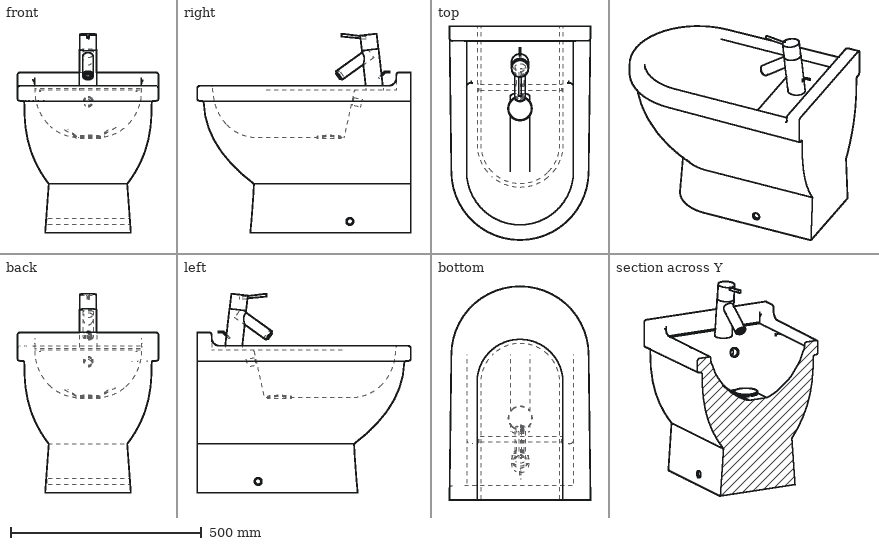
import cadquery as cq
import math


overall_height = 521.53
overall_length = 560.0
back_half_width = 185.0
front_radius = 180.0
front_center_y = front_radius - overall_length
rim_top_z = 385.0
rim_bottom_z = 345.0
rim_top_fillet = 7.5
rim_bottom_fillet = 7.0

back_wall_top_z = 420.0
back_wall_depth = 38.5
back_wall_sweep_radius = 20.0

opening_half_width = 140.0
opening_edge_fillet = 5.0
deck_z = 375.0
deck_back_fillet = 6.5
fillet_clearance = 0.5
deck_front_y = -148.0
deck_front_fillet = 5.0
basin_depth = 125.0
basin_floor_z = deck_z - basin_depth
basin_back_tilt = 12.5
basin_floor_half_width = 26.0
basin_back_bulge = 5.0
basin_corner_fillet = 12.0
overflow_z = 345.0
overflow_diameter = 20.0
overflow_mouth_diameter = 25.0
overflow_depth = 25.0

bowl_bottom_z = 128.0
bowl_top_half_width = 167.0
bowl_top_center_y = -376.0
bowl_bottom_half_width = 103.0
bowl_bottom_center_y = -308.5
bowl_width_power = 2.6
bowl_center_power = 1.75
bowl_section_count = 8
bowl_neck_fillet = 4.5

pedestal_base_half_width = 112.5
screw_hole_diameter = 15.0
screw_hole_mouth_diameter = 20.0
screw_hole_y = -160.0
screw_hole_z = 30.0

drain_y = -215.5
cap_diameter = 63.0
cap_chamfer = 1.5
cap_bottom_z = basin_floor_z - 2.0
cap_edge_z = basin_floor_z + 4.5
cap_dome_height = 2.0

tap_y = -95.0
tap_tilt = 6.5
tap_diameter = 45.0
tap_head_diameter = 44.0
tap_head_length = 40.0
spout_diameter = 28.0
spout_pitch = 35.6
spout_start = (0, -106.0, 470.7)
spout_length = 101.0
aerator_diameter = 20.0
aerator_bore = 15.0
aerator_seat_depth = 8.0
aerator_projection = 4.0
aerator_bore_depth = 6.0
lever_root_diameter = 6.0
lever_tip_diameter = 8.0
lever_rise = 6.2
lever_drop = 9.4
lever_tip_y = -182.5
rod_diameter = 4.0
rod_knob_y = -56.0
rod_bend_y = -69.0
rod_end_y = -84.0
rod_top_z = 420.5
rod_slope = 45.0


def u_outline(z, half_width, center_y, back_half=None):
    """Wire at height z: flat back on Y = 0, two sides and a half-round front."""
    back = half_width if back_half is None else back_half
    return (
        cq.Workplane("XY", origin=(0, 0, z))
        .moveTo(-back, 0)
        .lineTo(-half_width, center_y)
        .threePointArc((0, center_y - half_width), (half_width, center_y))
        .lineTo(back, 0)
        .close()
    )


def rod_along(start, direction, diameter, length):
    """Round bar that starts at a point and runs along a direction."""
    return cq.Workplane(
        cq.Solid.makeCylinder(diameter / 2, length, cq.Vector(*start), cq.Vector(*direction))
    )


def edges_in_band(solid, low, high):
    """Edges of a solid whose centres lie between two corner points."""
    return solid.edges(cq.selectors.BoxSelector(low, high))


def make_rim():
    sweep_end_y = -(back_wall_depth + back_wall_sweep_radius)
    sweep_top_z = rim_top_z + back_wall_sweep_radius
    side = (
        cq.Workplane("YZ", origin=(-back_half_width, 0, 0))
        .moveTo(0, rim_bottom_z)
        .lineTo(-overall_length, rim_bottom_z)
        .lineTo(-overall_length, rim_top_z)
        .lineTo(sweep_end_y, rim_top_z)
        .radiusArc((-back_wall_depth, sweep_top_z), -back_wall_sweep_radius)
        .lineTo(-back_wall_depth, back_wall_top_z)
        .lineTo(0, back_wall_top_z)
        .close()
        .extrude(2 * back_half_width)
    )
    plan = u_outline(rim_bottom_z, front_radius, front_center_y, back_half_width)
    rim = side.intersect(plan.extrude(back_wall_top_z - rim_bottom_z))
    upper_edges = cq.selectors.BoxSelector(
        (-back_half_width - 1, -overall_length - 1, rim_top_z - 1),
        (back_half_width + 1, -1, back_wall_top_z + 1),
    )
    inner_edges = cq.selectors.BoxSelector(
        (-1, sweep_end_y - 1, rim_top_z - 1),
        (1, -back_wall_depth + 1, sweep_top_z + 1),
    )
    return rim.edges(upper_edges - inner_edges).fillet(rim_top_fillet)


def make_bowl():
    """Outer bowl lofted through outlines that narrow and draw back towards the pedestal."""
    height = rim_bottom_z - bowl_bottom_z
    wires = []
    for i in range(bowl_section_count):
        drop = i / (bowl_section_count - 1)
        narrowing = (bowl_top_half_width - bowl_bottom_half_width) * drop**bowl_width_power
        setback = (bowl_bottom_center_y - bowl_top_center_y) * drop**bowl_center_power
        outline = u_outline(
            rim_bottom_z - drop * height, bowl_top_half_width - narrowing, bowl_top_center_y + setback
        )
        wires.append(outline.val())
    return cq.Workplane(cq.Solid.makeLoft(wires, False))


def make_pedestal():
    base = u_outline(0, pedestal_base_half_width, bowl_bottom_center_y).val()
    top = u_outline(bowl_bottom_z, bowl_bottom_half_width, bowl_bottom_center_y).val()
    return cq.Workplane(cq.Solid.makeLoft([base, top], True))


def make_shell():
    """Rim, bowl and pedestal in one piece, with rounded rim underside and neck."""
    shell = make_rim().union(make_bowl()).union(make_pedestal())
    low = (-back_half_width - 1, -overall_length, rim_bottom_z - 0.5)
    high = (back_half_width + 1, -1, rim_bottom_z + 0.5)
    lip = [e for e in edges_in_band(shell, low, high).vals() if e.geomType() != "BSPLINE"]
    shell = shell.newObject(lip).fillet(rim_bottom_fillet)
    neck = [e for e in edges_in_band(shell, low, high).vals() if e.geomType() == "BSPLINE"]
    return shell.newObject(neck).fillet(bowl_neck_fillet)


def make_deck_back_strip():
    """Strip that brings the deck up to the back wall with a rounded inner corner."""
    front_y = -(back_wall_depth + deck_back_fillet)
    return (
        cq.Workplane("YZ", origin=(-opening_half_width, 0, 0))
        .moveTo(front_y, deck_z)
        .radiusArc((-back_wall_depth, deck_z + deck_back_fillet), -deck_back_fillet)
        .lineTo(-back_wall_depth, rim_top_z + back_wall_sweep_radius)
        .lineTo(front_y, rim_top_z + back_wall_sweep_radius)
        .close()
        .extrude(2 * opening_half_width)
    )


def cut_opening(shell):
    """Recess between the rim sides down to the deck, with a softened top edge."""
    opening = u_outline(deck_z, opening_half_width, front_center_y)
    opening = opening.extrude(back_wall_top_z - deck_z + 1)
    behind = cq.Workplane("XY").box(
        2 * back_half_width, 2 * (back_wall_depth + fillet_clearance), 2 * overall_height
    )
    shell = shell.cut(opening.cut(behind))
    half = opening_half_width
    inner_edges = cq.selectors.BoxSelector(
        (-half - 1, front_center_y - half - 1, rim_top_z - 0.5),
        (half + 1, -back_wall_depth + 1, rim_top_z + back_wall_sweep_radius + 1),
        boundingbox=True,
    )
    shell = shell.edges(inner_edges).edges("not |X").fillet(opening_edge_fillet)
    return shell.cut(make_deck_back_strip())


def make_basin_cutter():
    """Trough with nearly straight flanks at the back that swell into a rounded front end."""
    half = opening_half_width
    floor_half = basin_floor_half_width
    flank_width = half - floor_half
    flank_slope = math.hypot(flank_width, basin_depth)
    flank_middle_x = (half + floor_half) / 2 + basin_back_bulge * basin_depth / flank_slope
    flank_middle_z = -basin_depth / 2 - basin_back_bulge * flank_width / flank_slope
    back_section = (
        cq.Workplane("XZ", origin=(0, deck_front_y, deck_z))
        .moveTo(-half, 0)
        .threePointArc((-flank_middle_x, flank_middle_z), (-floor_half, -basin_depth))
        .lineTo(floor_half, -basin_depth)
        .threePointArc((flank_middle_x, flank_middle_z), (half, 0))
        .close()
    )
    front_section = (
        cq.Workplane("XZ", origin=(0, front_center_y, deck_z))
        .moveTo(-half, 0)
        .ellipseArc(flank_width, basin_depth, 180, 270, startAtCurrent=True)
        .lineTo(floor_half, -basin_depth)
        .ellipseArc(flank_width, basin_depth, 270, 360, startAtCurrent=True)
        .close()
    )
    trough = cq.Workplane(cq.Solid.makeLoft([back_section.val(), front_section.val()], True))
    front_end = (
        cq.Workplane("XZ", origin=(0, front_center_y, deck_z))
        .moveTo(0, -basin_depth)
        .lineTo(floor_half, -basin_depth)
        .ellipseArc(flank_width, basin_depth, 270, 360, startAtCurrent=True)
        .lineTo(0, 0)
        .close()
        .revolve(180, (0, 0, 0), (0, -1, 0))
    )
    reach = 2 * overall_length
    back_block = (
        cq.Workplane("XY")
        .box(reach, reach, reach, centered=(True, False, True))
        .rotate((0, 0, 0), (1, 0, 0), -basin_back_tilt)
        .translate((0, deck_front_y, deck_z))
    )
    cutter = trough.union(front_end).cut(back_block)
    low = (-opening_half_width, drain_y, basin_floor_z)
    high = (opening_half_width, deck_front_y + 1, deck_z - 1)
    return edges_in_band(cutter, low, high).fillet(basin_corner_fillet)


def make_deck_front_rounding():
    """Sliver that rounds the deck's front edge between the two basin corners."""
    back_tilt = math.radians(basin_back_tilt)
    radius = deck_front_fillet
    setback = radius * math.tan((math.pi / 2 - back_tilt) / 2)
    lower_y = deck_front_y - setback * math.sin(back_tilt)
    lower_z = deck_z - setback * math.cos(back_tilt)
    half_length = opening_half_width - basin_corner_fillet
    return (
        cq.Workplane("YZ", origin=(-half_length, 0, 0))
        .moveTo(deck_front_y, deck_z)
        .lineTo(deck_front_y + setback, deck_z)
        .radiusArc((lower_y, lower_z), -radius)
        .close()
        .extrude(2 * half_length)
    )


def mouth_hole(start, direction, diameter, mouth_diameter, length):
    """Hole with a 45 degree chamfered mouth at its start."""
    mouth_depth = (mouth_diameter - diameter) / 2
    mouth = cq.Solid.makeCone(
        mouth_diameter / 2, diameter / 2, mouth_depth, cq.Vector(*start), cq.Vector(*direction)
    )
    return rod_along(start, direction, diameter, length).union(cq.Workplane(mouth))


def make_overflow():
    back_tilt = math.radians(basin_back_tilt)
    mouth_y = deck_front_y - (deck_z - overflow_z) * math.tan(back_tilt)
    inward = (0, math.cos(back_tilt), -math.sin(back_tilt))
    return mouth_hole(
        (0, mouth_y, overflow_z), inward, overflow_diameter, overflow_mouth_diameter, overflow_depth
    )


def make_screw_hole():
    """Cross hole through the pedestal, chamfered at both flanks."""
    taper = (pedestal_base_half_width - bowl_bottom_half_width) / bowl_bottom_z
    flank = pedestal_base_half_width - taper * screw_hole_z
    radius = screw_hole_diameter / 2
    mouth_radius = screw_hole_mouth_diameter / 2
    shoulder = flank - (mouth_radius - radius)
    outer = pedestal_base_half_width
    return (
        cq.Workplane("XY", origin=(0, screw_hole_y, screw_hole_z))
        .moveTo(-outer, 0)
        .lineTo(-outer, mouth_radius)
        .lineTo(-flank, mouth_radius)
        .lineTo(-shoulder, radius)
        .lineTo(shoulder, radius)
        .lineTo(flank, mouth_radius)
        .lineTo(outer, mouth_radius)
        .lineTo(outer, 0)
        .close()
        .revolve(360, (0, 0, 0), (1, 0, 0))
    )


def make_ceramic():
    ceramic = cut_opening(make_shell()).cut(make_basin_cutter())
    ceramic = ceramic.cut(make_deck_front_rounding())
    ceramic = ceramic.cut(make_overflow())
    ceramic = ceramic.cut(make_screw_hole())
    seat = rod_along(
        (0, drain_y, cap_bottom_z), (0, 0, 1), cap_diameter, cap_edge_z - cap_bottom_z
    )
    return ceramic.cut(seat)


def make_drain_cap():
    """Flat disc with a chamfered rim and a shallow domed top."""
    radius = cap_diameter / 2
    top_radius = radius - cap_chamfer
    dome_radius = (top_radius**2 + cap_dome_height**2) / (2 * cap_dome_height)
    return (
        cq.Workplane("XZ", origin=(0, drain_y, 0))
        .moveTo(0, cap_bottom_z)
        .lineTo(radius, cap_bottom_z)
        .lineTo(radius, cap_edge_z - cap_chamfer)
        .lineTo(radius - cap_chamfer, cap_edge_z)
        .radiusArc((0, cap_edge_z + cap_dome_height), -dome_radius)
        .close()
        .revolve(360, (0, 0, 0), (0, 1, 0))
    )


tilt = math.radians(tap_tilt)
tap_direction = (0, -math.sin(tilt), math.cos(tilt))
tap_length = (overall_height - deck_z - tap_head_diameter / 2 * math.sin(tilt)) / math.cos(tilt)
body_length = tap_length - tap_head_length
pitch = math.radians(spout_pitch)
spout_direction = (0, -math.cos(pitch), -math.sin(pitch))


def point_along(start, direction, distance):
    return tuple(s + distance * d for s, d in zip(start, direction))


tap_base = (0, tap_y, deck_z)
head_start = point_along(tap_base, tap_direction, body_length)
head_end = point_along(tap_base, tap_direction, tap_length)
spout_end = point_along(spout_start, spout_direction, spout_length)


def make_tap_column():
    """Tilted column cut flush with the deck."""
    overlap = tap_diameter / 2
    start = point_along(tap_base, tap_direction, -overlap)
    column = rod_along(start, tap_direction, tap_diameter, body_length + overlap)
    below = cq.Workplane("XY").box(
        overall_length, 2 * overall_length, 2 * deck_z, centered=(True, True, False)
    ).translate((0, 0, -deck_z))
    return column.cut(below)


def make_lever():
    """Slim bar, thicker at its tip, that leaves the head near its top."""
    rise = math.radians(lever_rise)
    direction = (0, -math.cos(rise), math.sin(rise))
    start = point_along(head_end, tap_direction, -lever_drop)
    length = (start[1] - lever_tip_y) / math.cos(rise)
    cone = cq.Solid.makeCone(
        lever_root_diameter / 2, lever_tip_diameter / 2, length, cq.Vector(*start), cq.Vector(*direction)
    )
    return cq.Workplane(cone)


def make_rod():
    """Bent waste rod: a level knob end, then a slope down into the column."""
    radius = rod_diameter / 2
    bend = (0, rod_bend_y, rod_top_z)
    slope = math.radians(rod_slope)
    level = rod_along((0, rod_knob_y, rod_top_z), (0, -1, 0), rod_diameter, rod_knob_y - rod_bend_y)
    fall_length = (rod_bend_y - rod_end_y) / math.cos(slope)
    fall = rod_along(bend, (0, -math.cos(slope), -math.sin(slope)), rod_diameter, fall_length)
    joint = cq.Workplane("XY").sphere(radius).translate(bend)
    return level.union(joint).union(fall)


aerator_start = point_along(spout_end, spout_direction, -aerator_seat_depth)
aerator_end = point_along(spout_end, spout_direction, aerator_projection)
aerator_length = aerator_seat_depth + aerator_projection
aerator_blank = rod_along(aerator_start, spout_direction, aerator_diameter, aerator_length)
bore_start = point_along(aerator_end, spout_direction, -aerator_bore_depth)
aerator = aerator_blank.cut(rod_along(bore_start, spout_direction, aerator_bore, aerator_bore_depth))

lever = make_lever()
tap_head = rod_along(head_start, tap_direction, tap_head_diameter, tap_head_length).cut(lever)

spout_blank = rod_along(spout_start, spout_direction, spout_diameter, spout_length)
spout = spout_blank.cut(aerator_blank).cut(tap_head)

waste_rod = make_rod()
tap_column = make_tap_column().cut(spout_blank).cut(waste_rod)

ceramic = make_ceramic()
drain_cap = make_drain_cap()

result = cq.Compound.makeCompound(
    [
        ceramic.val(),
        drain_cap.val(),
        tap_column.val(),
        tap_head.val(),
        lever.val(),
        spout.val(),
        aerator.val(),
        waste_rod.val(),
    ]
)